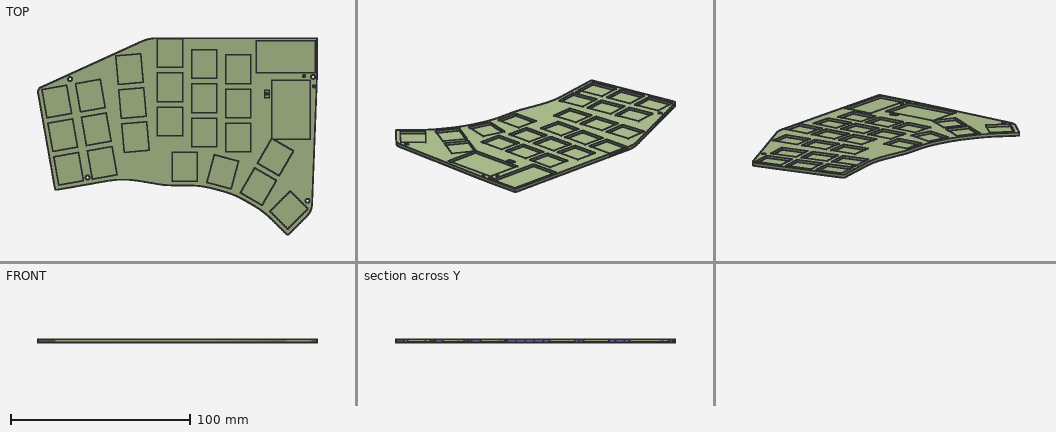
import math

import cadquery as cq



def shifted(point, tilt, across, along):
    """The point moved across and along the axes of a frame turned by tilt."""
    cosine = math.cos(math.radians(tilt))
    sine = math.sin(math.radians(tilt))
    return (
        point[0] + across * cosine - along * sine,
        point[1] + across * sine + along * cosine,
    )


PLATE_WIDTH = 155.84
PLATE_HEIGHT = 109.7
PLATE_THICKNESS = 1.9
POCKET_FLOOR = 0.5
POCKET_DEPTH = PLATE_THICKNESS - POCKET_FLOOR

KEY_WIDTH = 14.0
KEY_HEIGHT = 16.0
KEY_PITCH = 19.05
ROWS = 3
KEY_MARGIN = 2.5

OUTER_TILT = 10.0
OUTER_COLUMN = (13.84, 55.53)
NEXT_COLUMN = shifted(OUTER_COLUMN, OUTER_TILT, KEY_PITCH, 0)
MIDDLE_COLUMN_X = 73.73
COLUMNS = [
    (OUTER_COLUMN, OUTER_TILT),
    (NEXT_COLUMN, OUTER_TILT),
    ((52.8, 73.43), 5.0),
    ((MIDDLE_COLUMN_X, 82.25), 0.0),
    ((MIDDLE_COLUMN_X + KEY_PITCH, 76.15), 0.0),
    ((MIDDLE_COLUMN_X + 2 * KEY_PITCH, 73.25), 0.0),
]

THUMB_KEYS = [
    ((81.93, 37.9), 0.0),
    ((103.16, 35.07), -15.0),
    ((123.07, 26.81), -30.0),
    ((140.15, 13.73), -45.0),
]
DOUBLE_THUMB_KEY = THUMB_KEYS[2]

COMPONENT_POCKETS = [
    ((138.4, 99.3), (33.0, 17.9)),
    ((141.25, 69.7), (21.6, 33.0)),
    ((127.85, 78.45), (2.4, 4.2)),
]

SCREW_DIAMETER = 2.2
SCREW_HOLES = [(153.6, 88.1), (17.95, 86.8), (27.75, 31.85), (150.5, 18.9)]
PEG_DIAMETER = 1.4
PEG_HOLES = [(148.6, 88.5), (154.2, 82.8)]
PIN_DIAMETER = 1.0
PIN_HOLE = (127.6, 78.6)

TIP_RADIUS = 1.0
LEFT_TOP_RADIUS = 3.0
RIGHT_RADIUS = 10.0
TOP_RADIUS = 20.0
SWEEP_RADIUS = 50.0
TOP_SLOPE = 24.5
TOP_SLOPE_POINT = (33.9, 96.95)
BRIDGE_SLOPE = -9.5
BRIDGE_POINT = (61.9, 29.0)
RIGHT_BEND = (PLATE_WIDTH, 88.0)
RIGHT_SLOPE = 87.8


def column_keys(centre, tilt):
    middle = (ROWS - 1) / 2
    return [shifted(centre, tilt, 0, (row - middle) * KEY_PITCH) for row in range(ROWS)]


def key_positions():
    keys = [(key, tilt) for centre, tilt in COLUMNS for key in column_keys(centre, tilt)]
    keys += THUMB_KEYS
    lower_centre, tilt = DOUBLE_THUMB_KEY
    keys.append((shifted(lower_centre, tilt, 0, KEY_PITCH), tilt))
    return keys


def crossing(first, second):
    """Where two lines, each a point and a direction angle, meet."""
    (x1, y1), angle1 = first
    (x2, y2), angle2 = second
    dx1, dy1 = math.cos(math.radians(angle1)), math.sin(math.radians(angle1))
    dx2, dy2 = math.cos(math.radians(angle2)), math.sin(math.radians(angle2))
    reach = ((x2 - x1) * dy2 - (y2 - y1) * dx2) / (dx1 * dy2 - dy1 * dx2)
    return (x1 + reach * dx1, y1 + reach * dy1)


def rim_edges():
    """Rim lines counter-clockwise: point, direction, radius of the corner at the line's end."""
    below = -(KEY_HEIGHT / 2 + KEY_MARGIN)
    beside = KEY_WIDTH / 2 + KEY_MARGIN
    tip_centre, tip_tilt = THUMB_KEYS[-1]

    edges = [
        (shifted(OUTER_COLUMN, OUTER_TILT, 0, below - KEY_PITCH), OUTER_TILT, SWEEP_RADIUS),
        (BRIDGE_POINT, BRIDGE_SLOPE, SWEEP_RADIUS),
    ]
    for centre, tilt in THUMB_KEYS[:-1]:
        edges.append((shifted(centre, tilt, 0, below), tilt, SWEEP_RADIUS))
    edges += [
        (shifted(tip_centre, tip_tilt, 0, below), tip_tilt, TIP_RADIUS),
        (shifted(tip_centre, tip_tilt, beside, 0), tip_tilt + 90, RIGHT_RADIUS),
        (RIGHT_BEND, RIGHT_SLOPE, 0),
        (RIGHT_BEND, 90.0, 0),
        ((PLATE_WIDTH, PLATE_HEIGHT), 180.0, TOP_RADIUS),
        (TOP_SLOPE_POINT, 180.0 + TOP_SLOPE, LEFT_TOP_RADIUS),
        (shifted(OUTER_COLUMN, OUTER_TILT, -beside, 0), OUTER_TILT - 90.0, TIP_RADIUS),
    ]
    return edges


def rounded_corner(edge, following):
    """Start, middle and end of the arc that joins two rim lines; one point if it is sharp."""
    point, direction, radius = edge
    next_point, next_direction, _ = following
    corner = crossing((point, direction), (next_point, next_direction))
    if radius == 0:
        return [corner]
    turn = (next_direction - direction + 180) % 360 - 180
    half_turn = math.radians(abs(turn)) / 2
    setback = radius * math.tan(half_turn)
    bulge = radius * (1 / math.cos(half_turn) - 1)
    inward = bulge if turn > 0 else -bulge
    return [
        shifted(corner, direction, -setback, 0),
        shifted(corner, direction + turn / 2, 0, inward),
        shifted(corner, next_direction, setback, 0),
    ]


def plate():
    edges = rim_edges()
    corners = [rounded_corner(edge, edges[(i + 1) % len(edges)]) for i, edge in enumerate(edges)]
    outline = cq.Workplane("XY").moveTo(*corners[-1][-1])
    for corner in corners:
        outline = outline.lineTo(*corner[0])
        if len(corner) > 1:
            outline = outline.threePointArc(corner[1], corner[2])
    return outline.close().extrude(PLATE_THICKNESS)


def pocket(centre, size, tilt=0.0):
    """Rectangular cutter sunk into the top face."""
    cutter = cq.Workplane("XY").rect(*size).extrude(POCKET_DEPTH)
    cutter = cutter.rotate((0, 0, 0), (0, 0, 1), tilt)
    return cutter.translate((*centre, POCKET_FLOOR))


def round_holes(centres, diameter, depth):
    """Round cutters sunk into the top face."""
    floor = PLATE_THICKNESS - depth
    holes = cq.Workplane("XY", origin=(0, 0, floor)).pushPoints(centres)
    return holes.circle(diameter / 2).extrude(depth)


result = plate()
for key_centre, key_tilt in key_positions():
    result = result.cut(pocket(key_centre, (KEY_WIDTH, KEY_HEIGHT), key_tilt))
for pocket_centre, pocket_size in COMPONENT_POCKETS:
    result = result.cut(pocket(pocket_centre, pocket_size))
result = result.cut(round_holes(SCREW_HOLES, SCREW_DIAMETER, PLATE_THICKNESS))
result = result.cut(round_holes(PEG_HOLES, PEG_DIAMETER, POCKET_DEPTH))
result = result.cut(round_holes([PIN_HOLE], PIN_DIAMETER, PLATE_THICKNESS))